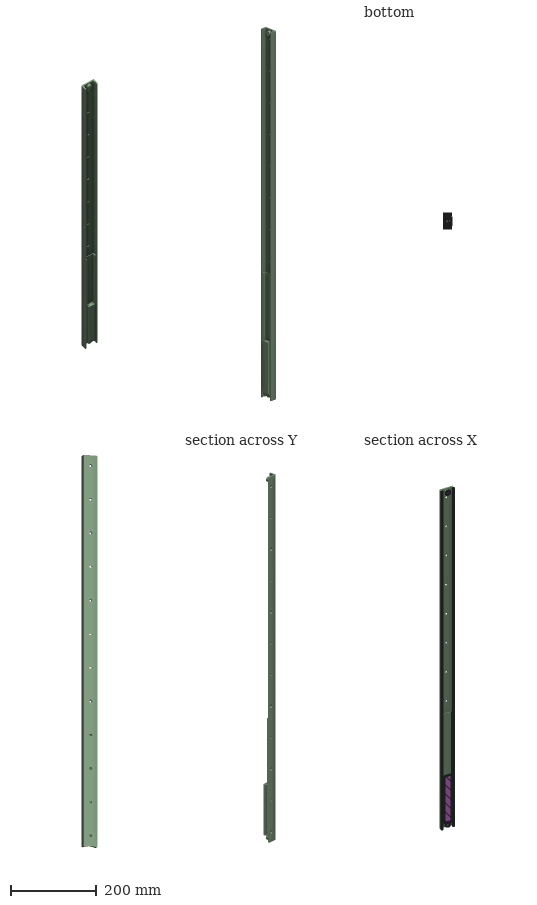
import cadquery as cq

rail_length = 930.0
rail_width = 35.0
rail_depth = 16.0
web_thickness = 3.5
flange_thickness = 3.75
corner_radius = 1.0
channel_width = rail_width - 2 * flange_thickness
groove_radius = 2.5
groove_centre_x = 11.5
groove_depth = 1.5
groove_centre_y = channel_width / 2 + groove_depth - groove_radius

hole_pitch = 80.0
first_hole_height = 25.0
hole_count = 12
screw_hole_diameter = 5.0
countersink_diameter = 8.0
slot_length = 7.5
slot_height = 4.5

overall_depth = 17.0
carriage_start = 15.0
carriage_length = 130.0
plate_width = 17.0
plate_back = 13.5
waist_width = 11.0
foot_width = 20.0
foot_front = 11.0
foot_back = 7.5

retainer_length = 300.0
retainer_width = 26.0
retainer_opening = 21.0
retainer_back = 5.7
retainer_floor = 7.0
retainer_front = 14.5

stop_end_distance = 9.0
stop_plug_diameter = 10.0
stop_head_diameter = 12.0
stop_head_front = 10.5
stop_heights = (stop_end_distance, rail_length - stop_end_distance)


def block(x_range, width, z_range):
    """A block centred on Y = 0, spanning the given X and Z ranges."""
    x_size = x_range[1] - x_range[0]
    z_size = z_range[1] - z_range[0]
    return (
        cq.Workplane("XY")
        .box(x_size, width, z_size, centered=(False, True, False))
        .translate((x_range[0], 0, z_range[0]))
    )


def bar_along_x(diameter, x_range, height):
    """A round bar along X on the centre line of the rail, at a given height."""
    return (
        cq.Workplane("YZ", origin=(x_range[0], 0, height))
        .circle(diameter / 2)
        .extrude(x_range[1] - x_range[0])
    )


def countersunk_hole(height):
    """Cutter for a screw hole whose 90-degree countersink opens on the back of the web."""
    sink_depth = (countersink_diameter - screw_hole_diameter) / 2
    sink = (
        cq.Workplane("YZ", origin=(0, 0, height))
        .circle(countersink_diameter / 2)
        .workplane(offset=sink_depth)
        .circle(screw_hole_diameter / 2)
        .loft()
    )
    return bar_along_x(screw_hole_diameter, (0, web_thickness), height).union(sink)


def slot_hole(height):
    """Cutter for a slot through the web, long in Y."""
    return (
        cq.Workplane("YZ", origin=(0, 0, height))
        .slot2D(slot_length, slot_height)
        .extrude(web_thickness)
    )


def make_rail():
    span = (0, rail_length)
    rail = block((0, rail_depth), rail_width, span)
    rail = rail.edges("|Z").fillet(corner_radius)
    rail = rail.cut(block((web_thickness, rail_depth), channel_width, span))
    for side in (-1, 1):
        groove = cq.Workplane("XY").center(groove_centre_x, side * groove_centre_y)
        rail = rail.cut(groove.circle(groove_radius).extrude(rail_length))

    for index in range(hole_count):
        height = first_hole_height + index * hole_pitch
        steps_from_end = min(index, hole_count - 1 - index)
        if steps_from_end % 2 == 0:
            rail = rail.cut(countersunk_hole(height))
        else:
            rail = rail.cut(slot_hole(height))

    for height in stop_heights:
        rail = rail.cut(bar_along_x(stop_plug_diameter, (0, web_thickness), height))
    return rail


def make_carriage():
    span = (carriage_start, carriage_start + carriage_length)
    plate = block((plate_back, overall_depth), plate_width, span)
    waist = block((foot_front, plate_back), waist_width, span)
    foot = block((foot_back, foot_front), foot_width, span)
    return plate.union(waist).union(foot)


def make_retainer():
    span = (carriage_start, carriage_start + retainer_length)
    outside = block((retainer_back, retainer_front), retainer_width, span)
    return outside.cut(block((retainer_floor, retainer_front), retainer_opening, span))


def make_stop(height):
    plug = bar_along_x(stop_plug_diameter, (0, web_thickness), height)
    head = bar_along_x(stop_head_diameter, (web_thickness, stop_head_front), height)
    return plug.union(head)


rail = make_rail()
carriage = make_carriage()
retainer = make_retainer()
stops = [make_stop(height) for height in stop_heights]

result = cq.Compound.makeCompound(
    [rail.val(), carriage.val(), retainer.val(), *[stop.val() for stop in stops]]
)